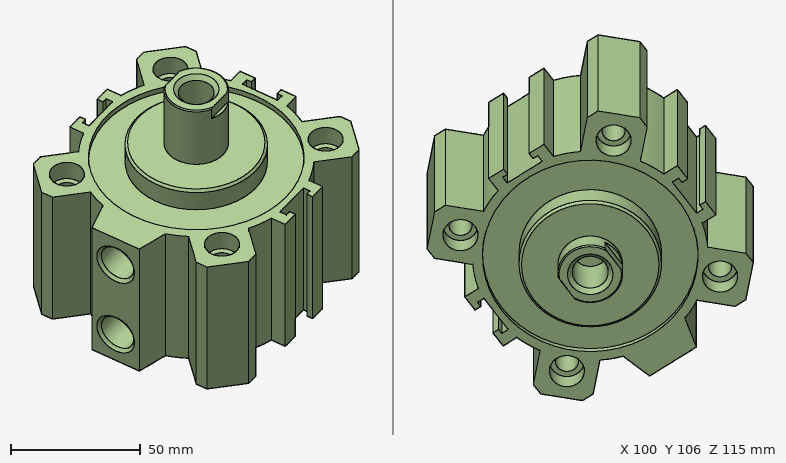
import cadquery as cq
import math

block_height = 64.0
block_half_width = 50.0
barrel_radius = 45.5
recess_diameter = 83.2
recess_depth = 2.5

ear_half_width = 11.75
ear_tip_distance = 62.5
mount_hole_spacing = 72.0
mount_hole_diameter = 9.0
counterbore_diameter = 13.5
counterbore_depth = 8.5

rail_half_width = 13.0
slot_half_opening = 6.0
slot_half_width = 8.2
slot_lip = 2.7
slot_floor_distance = 44.3
rail_angles = (0, 90, 180)

boss_face_distance = 56.0
boss_face_half_width = 11.0
boss_root_half_width = 14.5
port_diameter = 14.95
port_mouth_diameter = 17.5
port_chamfer = (port_mouth_diameter - port_diameter) / 2
port_spacing = 36.5
port_depth = 15.0

collar_diameter = 55.0
collar_height = 7.5
collar_chamfer = 1.0

rod_diameter = 25.0
rod_top_extension = 28.0
rod_bottom_extension = 8.0
rod_end_chamfer = 0.5
flat_width = 22.0
flat_length = 5.4
rod_bore_diameter = 13.84
rod_bore_mouth_diameter = 17.5
rod_bore_chamfer = (rod_bore_mouth_diameter - rod_bore_diameter) / 2
rod_bore_depth = 20.0

half_height = block_height / 2
collar_face = half_height + collar_height
rod_top = collar_face + rod_top_extension
rod_bottom = -collar_face - rod_bottom_extension


def block_prism(profile):
    """Extrude a closed XY profile over the full block height."""
    return profile.extrude(block_height).translate((0, 0, -half_height))


def turn_about_z(shape, angle):
    return shape.rotate((0, 0, 0), (0, 0, 1), angle)


def make_ears():
    """Two crossed diagonal bars, clipped to the square block outline."""
    bar = block_prism(cq.Workplane("XY").rect(2 * ear_tip_distance, 2 * ear_half_width))
    bars = turn_about_z(bar, 45).union(turn_about_z(bar, -45))
    square = block_prism(cq.Workplane("XY").rect(2 * block_half_width, 2 * block_half_width))
    return bars.intersect(square)


def make_rail():
    """Solid rail on the +X side."""
    return block_prism(
        cq.Workplane("XY").center(block_half_width / 2, 0).rect(block_half_width, 2 * rail_half_width)
    )


def make_slot():
    """T-slot cutter for the rail on the +X side."""
    lip_inner = block_half_width - slot_lip
    outline = (
        cq.Workplane("XY")
        .moveTo(slot_floor_distance, -slot_half_width)
        .lineTo(lip_inner, -slot_half_width)
        .lineTo(lip_inner, -slot_half_opening)
        .lineTo(block_half_width, -slot_half_opening)
        .lineTo(block_half_width, slot_half_opening)
        .lineTo(lip_inner, slot_half_opening)
        .lineTo(lip_inner, slot_half_width)
        .lineTo(slot_floor_distance, slot_half_width)
        .close()
    )
    return block_prism(outline)


def make_port_boss():
    """Tapered boss that grows out of the barrel on the -Y side."""
    root_distance = math.sqrt(barrel_radius**2 - boss_root_half_width**2)
    outline = cq.Workplane("XY").polyline(
        [
            (-boss_face_half_width, -boss_face_distance),
            (boss_face_half_width, -boss_face_distance),
            (boss_root_half_width, -root_distance),
            (0, 0),
            (-boss_root_half_width, -root_distance),
        ]
    ).close()
    return block_prism(outline)


def make_port(z):
    """Cutter for one round port with a chamfered mouth in the boss face."""
    port_radius = port_diameter / 2
    mouth_radius = port_mouth_diameter / 2
    half_section = cq.Workplane("XY").polyline(
        [
            (0, -boss_face_distance),
            (mouth_radius, -boss_face_distance),
            (port_radius, -boss_face_distance + port_chamfer),
            (port_radius, -boss_face_distance + port_depth),
            (0, -boss_face_distance + port_depth),
        ]
    ).close()
    return half_section.revolve(360, (0, 0, 0), (0, 1, 0)).translate((0, 0, z))


def make_upper_end_cuts():
    """Ring recess around the upper collar and the upper counterbores."""
    recess = (
        cq.Workplane("XY", origin=(0, 0, half_height - recess_depth))
        .circle(recess_diameter / 2)
        .circle(collar_diameter / 2)
        .extrude(recess_depth)
    )
    counterbores = (
        cq.Workplane("XY", origin=(0, 0, half_height - counterbore_depth))
        .rect(mount_hole_spacing, mount_hole_spacing, forConstruction=True)
        .vertices()
        .circle(counterbore_diameter / 2)
        .extrude(counterbore_depth)
    )
    return recess.union(counterbores)


def make_housing():
    """Block with rails, ears, port boss and collars, bored through for the rod."""
    housing = block_prism(cq.Workplane("XY").circle(barrel_radius)).union(make_ears())
    for angle in rail_angles:
        housing = housing.union(turn_about_z(make_rail(), angle))
    housing = housing.union(make_port_boss())
    for angle in rail_angles:
        housing = housing.cut(turn_about_z(make_slot(), angle))

    collars = (
        cq.Workplane("XY", origin=(0, 0, -collar_face))
        .circle(collar_diameter / 2)
        .extrude(2 * collar_face)
        .edges("%CIRCLE")
        .chamfer(collar_chamfer)
    )
    housing = housing.union(collars)

    upper_cuts = make_upper_end_cuts()
    housing = housing.cut(upper_cuts).cut(upper_cuts.mirror("XY"))
    mount_holes = block_prism(
        cq.Workplane("XY")
        .rect(mount_hole_spacing, mount_hole_spacing, forConstruction=True)
        .vertices()
        .circle(mount_hole_diameter / 2)
    )
    housing = housing.cut(mount_holes)

    for z in (-port_spacing / 2, port_spacing / 2):
        housing = housing.cut(make_port(z))

    rod_hole = (
        cq.Workplane("XY", origin=(0, 0, -collar_face))
        .circle(rod_diameter / 2)
        .extrude(2 * collar_face)
    )
    return housing.cut(rod_hole)


def make_flat_cut(end_z, inward):
    """Cutter for the two wrench flats at one rod end; inward is the Z direction into the rod."""
    frame = cq.Workplane("XY", origin=(0, 0, end_z)).rect(2 * rod_diameter, 2 * rod_diameter)
    return frame.rect(flat_width, 2 * rod_diameter).extrude(inward * flat_length)


def make_rod_bore(end_z, inward):
    """Cutter for the blind bore with a chamfered mouth at one rod end."""
    half_section = cq.Workplane("XZ").polyline(
        [
            (0, end_z),
            (rod_bore_mouth_diameter / 2, end_z),
            (rod_bore_diameter / 2, end_z + inward * rod_bore_chamfer),
            (rod_bore_diameter / 2, end_z + inward * rod_bore_depth),
            (0, end_z + inward * rod_bore_depth),
        ]
    ).close()
    return half_section.revolve(360, (0, 0, 0), (0, 1, 0))


def make_rod():
    """Through rod that fills the bore of the housing."""
    rod = (
        cq.Workplane("XY", origin=(0, 0, rod_bottom))
        .circle(rod_diameter / 2)
        .extrude(rod_top - rod_bottom)
        .edges("%CIRCLE")
        .chamfer(rod_end_chamfer)
    )
    for end_z, inward in ((rod_top, -1), (rod_bottom, 1)):
        rod = rod.cut(make_flat_cut(end_z, inward))
        rod = rod.cut(make_rod_bore(end_z, inward))
    return rod


housing = make_housing()
rod = make_rod()
result = cq.Compound.makeCompound([housing.solids().val(), rod.solids().val()])